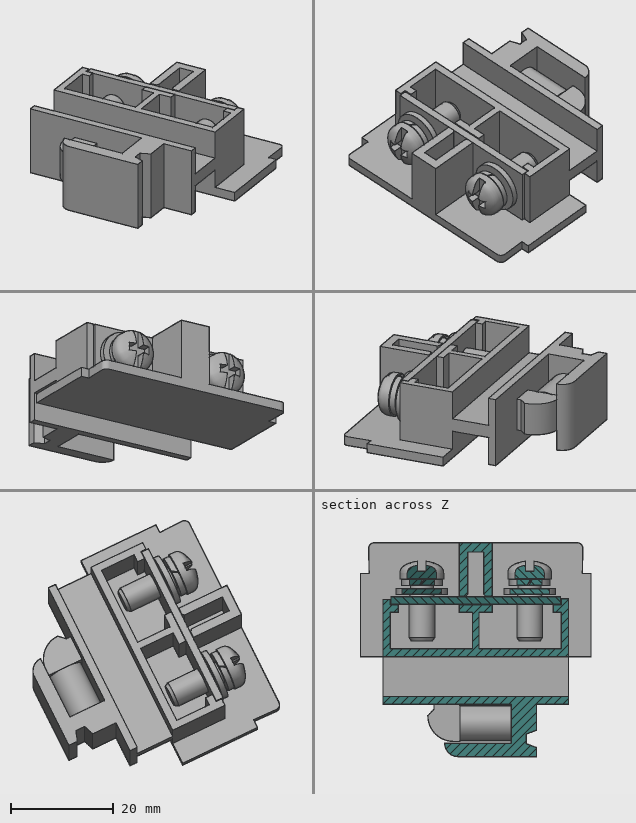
import cadquery as cq
import math


quarter_arc_mid = math.sqrt(0.5)

total_height = 14.0
mid_height = total_height / 2
base_width = 45.0
base_thickness = 1.9
base_front = 19.5
base_rear = 41.7
ear_width = 41.85
neck_width = 41.6
shoulder_y = 35.75
ear_corner_radius = 1.12

box_width = 36.2
left_wall_rear = 30.7
right_wall_rear = 30.82
pocket_front = 21.05
pocket_rear = 28.12
pocket_half_span = 16.65
partition_thickness = 1.35
lip_inner_x = 15.08
lip_rear = 29.6
post_width = 6.5

divider_front = 31.28
divider_slot_width = 3.05
divider_slot_rear = 39.85
divider_slot_chamfer = 0.4

rail_front = 10.2
rail_thickness = 1.58
rail_rear = rail_front + rail_thickness
web_thickness = 2.6
arm_inner_x = 6.9
arm_outer_x = 11.9
foot_thickness = 2.65
foot_tip_x = -6.08
notch_floor_x = 9.85
notch_outer_y = (1.8, 5.18)
notch_floor_y = (2.55, 4.4)

plate_width = 33.05
plate_thickness = 1.5
plate_front = 29.7
plate_rear = plate_front + plate_thickness
plate_top = 13.85
plate_seat_width = 2 * pocket_half_span

screw_spacing = 21.0
screw_z = 7.8
thread_radius = 2.5
tip_radius = 2.05
tip_y = 22.6
tip_chamfer_length = 0.68
runout_start_y = 30.9
neck_radius = 2.25
washer_front = 31.65
washer_rear = 32.75
washer_radius = 5.0
lock_front = 33.4
lock_rear = 34.55
lock_radius = 4.0
lock_gap_width = 0.25
lock_gap_angle = 30.0
head_front = 34.65
head_edge_y = 35.75
head_radius = 4.28
head_top = 38.2
drive_floor_y = 36.2
drive_width = 1.6
cross_length = 4.5

hook_height = 6.52
hook_face_x = -3.1
hook_neck_x = -8.15
hook_neck_y = 9.25
hook_tip_x = -9.35
hook_tip_y = 8.0
hook_radius = 5.05
shaft_diameter = 6.9
shaft_y = 6.52


def block(x_range, y_range, z_range):
    """Box spanning the given (low, high) pairs."""
    (x0, x1), (y0, y1), (z0, z1) = x_range, y_range, z_range
    return cq.Workplane("XY").box(x1 - x0, y1 - y0, z1 - z0, centered=False).translate((x0, y0, z0))


def centered_block(width, y_range, z_range):
    """Box of the given width, centred on X = 0."""
    return block((-width / 2, width / 2), y_range, z_range)


def make_base():
    """Flat base with a narrower, round-cornered rear that tapers slightly towards its shoulders."""
    half_outline = [
        (0, base_front),
        (base_width / 2, base_front),
        (base_width / 2, shoulder_y),
        (neck_width / 2, shoulder_y),
        (ear_width / 2, base_rear),
    ]
    mirrored = [(-x, y) for x, y in reversed(half_outline)]
    base = cq.Workplane("XY").polyline(half_outline + mirrored[:-1]).close().extrude(base_thickness)
    return base.edges("|Z and >Y").fillet(ear_corner_radius)


def make_pocket(side):
    """Wire pocket with its narrower mouth between the centre post and a side lip."""
    pocket_x = sorted((side * partition_thickness / 2, side * pocket_half_span))
    mouth_x = sorted((side * post_width / 2, side * lip_inner_x))
    depth = (base_thickness, total_height)
    pocket = block(pocket_x, (pocket_front, pocket_rear), depth)
    return pocket.union(block(mouth_x, (pocket_front, plate_rear), depth))


def make_box():
    """Walled box whose rear is closed by the contact plate."""
    upper = (0, total_height)
    box = block((-box_width / 2, 0), (base_front, left_wall_rear), upper)
    box = box.union(block((0, box_width / 2), (base_front, right_wall_rear), upper))
    for side in (-1, 1):
        box = box.cut(make_pocket(side))
    plate_seat = centered_block(plate_seat_width, (lip_rear, plate_rear), (base_thickness, total_height))
    return box.cut(plate_seat)


def make_divider():
    """Divider between the screws, with a slot that flares where it meets the plate."""
    divider = centered_block(post_width, (divider_front, base_rear), (0, total_height))
    half_slot = divider_slot_width / 2
    half_flare = half_slot + divider_slot_chamfer
    flare_end = divider_front + divider_slot_chamfer
    slot = (
        cq.Workplane("XY", origin=(0, 0, base_thickness))
        .polyline([
            (-half_flare, divider_front),
            (-half_slot, flare_end),
            (-half_slot, divider_slot_rear),
            (half_slot, divider_slot_rear),
            (half_slot, flare_end),
            (half_flare, divider_front),
        ])
        .close()
        .extrude(total_height - base_thickness)
    )
    return divider.cut(slot)


def make_rail_and_foot():
    """Web, rail bar and the J-shaped foot with a notch in its outer side."""
    web_z = (mid_height - web_thickness / 2, mid_height + web_thickness / 2)
    web = centered_block(box_width, (rail_front, base_front), web_z)
    rail = centered_block(box_width, (rail_front, rail_rear), (0, total_height))
    foot_arc_mid = (
        foot_tip_x + foot_thickness * (1 - quarter_arc_mid),
        foot_thickness * (1 - quarter_arc_mid),
    )
    foot = (
        cq.Workplane("XY")
        .moveTo(arm_inner_x, rail_front)
        .lineTo(arm_inner_x, foot_thickness)
        .lineTo(foot_tip_x, foot_thickness)
        .threePointArc(foot_arc_mid, (foot_tip_x + foot_thickness, 0))
        .lineTo(arm_outer_x, 0)
        .lineTo(arm_outer_x, notch_outer_y[0])
        .lineTo(notch_floor_x, notch_floor_y[0])
        .lineTo(notch_floor_x, notch_floor_y[1])
        .lineTo(arm_outer_x, notch_outer_y[1])
        .lineTo(arm_outer_x, rail_front)
        .close()
        .extrude(total_height)
    )
    return web.union(rail).union(foot)


def make_housing():
    """Complete moulded housing."""
    return make_base().union(make_box()).union(make_divider()).union(make_rail_and_foot())


def screw_positions():
    """X positions of the two screws."""
    return [-screw_spacing / 2, screw_spacing / 2]


def make_plate():
    """Contact plate with one through hole per screw."""
    plate = centered_block(plate_width, (plate_front, plate_rear), (base_thickness, plate_top))
    for x in screw_positions():
        hole = (
            cq.Workplane("XZ", origin=(x, plate_rear, screw_z))
            .circle(thread_radius)
            .extrude(plate_thickness)
        )
        plate = plate.cut(hole)
    return plate


def make_screw_blank():
    """Revolved shank, flat washer, lock washer and domed head on the Y axis."""
    dome_mid = (
        head_radius * quarter_arc_mid,
        head_edge_y + (head_top - head_edge_y) * quarter_arc_mid,
    )
    profile = (
        cq.Workplane("XY")
        .moveTo(0, tip_y)
        .lineTo(tip_radius, tip_y)
        .lineTo(thread_radius, tip_y + tip_chamfer_length)
        .lineTo(thread_radius, runout_start_y)
        .lineTo(neck_radius, washer_front)
        .lineTo(washer_radius, washer_front)
        .lineTo(washer_radius, washer_rear)
        .lineTo(neck_radius, washer_rear)
        .lineTo(neck_radius, lock_front)
        .lineTo(lock_radius, lock_front)
        .lineTo(lock_radius, lock_rear)
        .lineTo(neck_radius, lock_rear)
        .lineTo(neck_radius, head_front)
        .lineTo(head_radius, head_front)
        .lineTo(head_radius, head_edge_y)
        .spline([dome_mid, (0, head_top)], tangents=[(0, 1), (-1, 0)], includeCurrent=True)
        .close()
    )
    return profile.revolve(360, (0, 0, 0), (0, 1, 0))


def make_lock_gap():
    """Slanted split through the top of the lock washer, down to the neck."""
    slant = (lock_rear - lock_front) * math.tan(math.radians(lock_gap_angle))
    half_gap = lock_gap_width / 2
    outline = [
        (-slant / 2 - half_gap, lock_front),
        (-slant / 2 + half_gap, lock_front),
        (slant / 2 + half_gap, lock_rear),
        (slant / 2 - half_gap, lock_rear),
    ]
    split = (
        cq.Workplane("XY", origin=(0, 0, neck_radius))
        .polyline(outline)
        .close()
        .extrude(lock_radius - neck_radius)
    )
    return split


def make_drive():
    """Drive recess: a slot across the whole head and a shorter slot crossing it."""
    depth = (drive_floor_y, head_top)
    half_width = drive_width / 2
    slot = centered_block(drive_width, depth, (-head_radius, head_radius))
    cross = centered_block(cross_length, depth, (-half_width, half_width))
    return slot.union(cross)


def make_screw(x):
    """Screw with captive washers at the given X position."""
    screw = make_screw_blank().cut(make_lock_gap()).cut(make_drive())
    return screw.translate((x, 0, screw_z))


def make_latch():
    """Hook with a rounded lead-in, on a round shaft that butts against the foot's arm."""
    arc_center_x = hook_tip_x + hook_radius
    arc_mid = (
        arc_center_x - hook_radius * quarter_arc_mid,
        hook_tip_y - hook_radius * quarter_arc_mid,
    )
    hook = (
        cq.Workplane("XY", origin=(0, 0, mid_height - hook_height / 2))
        .moveTo(hook_face_x, rail_front)
        .lineTo(hook_neck_x, rail_front)
        .lineTo(hook_neck_x, hook_neck_y)
        .lineTo(hook_tip_x, hook_tip_y)
        .threePointArc(arc_mid, (arc_center_x, hook_tip_y - hook_radius))
        .lineTo(hook_face_x, hook_tip_y - hook_radius)
        .close()
        .extrude(hook_height)
    )
    shaft = (
        cq.Workplane("YZ", origin=(hook_face_x, shaft_y, mid_height))
        .circle(shaft_diameter / 2)
        .extrude(arm_inner_x - hook_face_x)
    )
    return hook.union(shaft)


housing = make_housing()
contact_plate = make_plate()
screws = [make_screw(x) for x in screw_positions()]
latch = make_latch()

result = cq.Compound.makeCompound([
    housing.val(),
    contact_plate.val(),
    *[screw.val() for screw in screws],
    latch.val(),
])